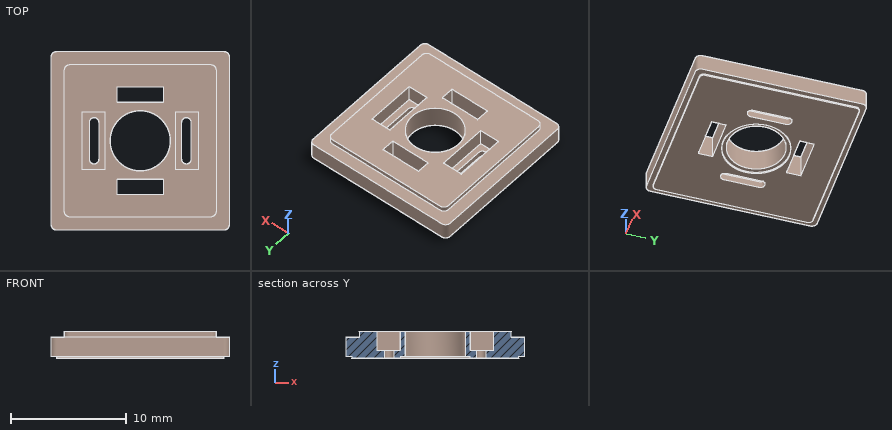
import cadquery as cq

plate_side = 15.5
plate_thickness = 1.7
plate_corner_radius = 0.5

top_step_side = 13.2
top_step_height = 0.5
top_step_corner_radius = 0.5

bottom_step_side = 14.5
bottom_step_height = 0.15
bottom_step_corner_radius = 0.4

total_height = bottom_step_height + plate_thickness + top_step_height

bore_diameter = 5.2

bore_clearance_diameter = 6.0

window_offset = 4.0
window_length = 4.0
window_width = 1.3

pocket_length = 5.0
pocket_width = 2.0
pocket_offset = 4.05
pocket_depth = 1.65
slot_offset = 4.0
slot_length = 4.0
slot_width = 0.8


def rounded_square(side, height, corner_radius, base_z):
    """Square slab centred on the Z axis with rounded vertical edges."""
    slab = cq.Workplane("XY").workplane(offset=base_z).rect(side, side).extrude(height)
    return slab.edges("|Z").fillet(corner_radius)


def make_body():
    """Stack of three rounded squares, with the underside at Z = 0."""
    plate_base = bottom_step_height
    plate_top = plate_base + plate_thickness
    bottom_step = rounded_square(bottom_step_side, bottom_step_height, bottom_step_corner_radius, 0)
    plate = rounded_square(plate_side, plate_thickness, plate_corner_radius, plate_base)
    top_step = rounded_square(top_step_side, top_step_height, top_step_corner_radius, plate_top)
    return bottom_step.union(plate).union(top_step)


def make_bore():
    """Central round hole through the full height, widened where it crosses the bottom step."""
    bore = cq.Workplane("XY").circle(bore_diameter / 2).extrude(total_height)
    clearance = cq.Workplane("XY").circle(bore_clearance_diameter / 2).extrude(bottom_step_height)
    return bore.union(clearance)


def make_windows():
    """Two rectangular openings through the full height."""
    centres = [(0, -window_offset), (0, window_offset)]
    sketch = cq.Workplane("XY").pushPoints(centres)
    return sketch.rect(window_length, window_width).extrude(total_height)


def make_slotted_pockets():
    """Two rectangular pockets open at the top, with round-ended slots through their floors."""
    pocket_centres = [(-pocket_offset, 0), (pocket_offset, 0)]
    slot_centres = [(-slot_offset, 0), (slot_offset, 0)]
    pocket_floor = cq.Workplane("XY").workplane(offset=total_height - pocket_depth)
    pockets = pocket_floor.pushPoints(pocket_centres).rect(pocket_width, pocket_length).extrude(pocket_depth)
    slot_sketch = cq.Workplane("XY").pushPoints(slot_centres)
    slots = slot_sketch.slot2D(slot_length, slot_width, 90).extrude(total_height)
    return pockets.union(slots)


result = make_body().cut(make_bore()).cut(make_windows()).cut(make_slotted_pockets())